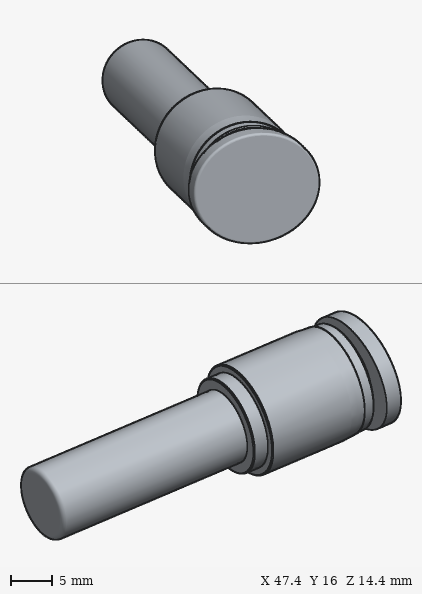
import cadquery as cq

TOTAL_LENGTH = 47.4
SHOULDER_START = 26.95
BARREL_START = 29.0
TAPER_START = 40.57
TAPER_END = 42.6
BARREL_END = 44.15
FLANGE_START = 45.15

PLUG_DIAMETER = 9.55
PLUG_TIP_ROUNDING = 0.65
SHOULDER_DIAMETER = 12.4
BARREL_DIAMETER = 14.4
TAPER_END_DIAMETER = 14.13
NOSE_START_DIAMETER = 14.0
NOSE_END_DIAMETER = 13.9
EDGE_CHAMFER = 0.15
NOSE_CHAMFER = 0.2

NECK_DIAMETER = 9.5
NECK_INSERTION = 1.9
FLANGE_WIDTH = 16.0
FLANGE_HEIGHT = 14.0
FLANGE_ROUNDING = 0.3


def cylinder_along_x(diameter, start, end):
    """Round bar centred on the X axis between two X positions."""
    return cq.Workplane("YZ", origin=(start, 0, 0)).circle(diameter / 2).extrude(end - start)


def make_housing():
    """Plug, shoulder and barrel turned as one solid, with a socket for the collar neck."""
    plug_radius = PLUG_DIAMETER / 2
    shoulder_radius = SHOULDER_DIAMETER / 2
    barrel_radius = BARREL_DIAMETER / 2
    nose_end_radius = NOSE_END_DIAMETER / 2
    turned = (
        cq.Workplane("XY")
        .lineTo(0, plug_radius - PLUG_TIP_ROUNDING)
        .radiusArc((PLUG_TIP_ROUNDING, plug_radius), PLUG_TIP_ROUNDING)
        .lineTo(SHOULDER_START, plug_radius)
        .lineTo(SHOULDER_START, shoulder_radius - EDGE_CHAMFER)
        .lineTo(SHOULDER_START + EDGE_CHAMFER, shoulder_radius)
        .lineTo(BARREL_START, shoulder_radius)
        .lineTo(BARREL_START, barrel_radius - EDGE_CHAMFER)
        .lineTo(BARREL_START + EDGE_CHAMFER, barrel_radius)
        .lineTo(TAPER_START, barrel_radius)
        .lineTo(TAPER_END, TAPER_END_DIAMETER / 2)
        .lineTo(TAPER_END, NOSE_START_DIAMETER / 2)
        .lineTo(BARREL_END - NOSE_CHAMFER, nose_end_radius)
        .lineTo(BARREL_END, nose_end_radius - NOSE_CHAMFER)
        .lineTo(BARREL_END, 0)
        .close()
        .revolve(360, (0, 0, 0), (1, 0, 0))
    )
    socket = cylinder_along_x(NECK_DIAMETER, BARREL_END - NECK_INSERTION, BARREL_END)
    return turned.cut(socket)


def make_collar():
    """Release collar: neck seated in the housing socket, with a rounded oval flange."""
    flange = (
        cq.Workplane("YZ", origin=(FLANGE_START, 0, 0))
        .ellipse(FLANGE_WIDTH / 2, FLANGE_HEIGHT / 2)
        .extrude(TOTAL_LENGTH - FLANGE_START)
        .faces(">X")
        .edges()
        .fillet(FLANGE_ROUNDING)
    )
    neck = cylinder_along_x(NECK_DIAMETER, BARREL_END - NECK_INSERTION, FLANGE_START)
    return flange.union(neck)


housing = make_housing()
collar = make_collar()

result = cq.Compound.makeCompound([housing.val(), collar.val()])